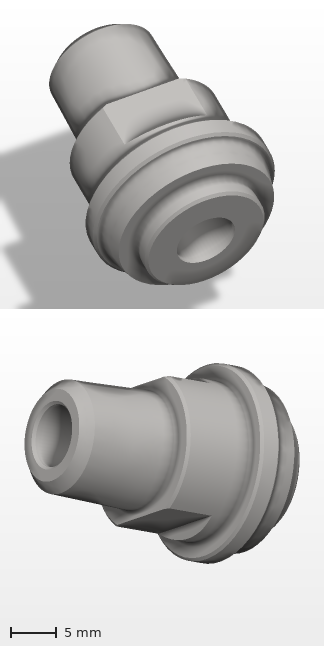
import cadquery as cq
import math

total_length = 28.5
body_start = 12.0
flange_start = 20.5
flange_end = 23.03
cone_end = 26.02

nose_tip_radius = 5.15
body_radius = 18.0 / 2
flange_radius = 22.0 / 2
cone_end_radius = 9.4
collar_radius = 14.5 / 2
bore_radius = 7.0 / 2

nose_chamfer = 1.23
nose_taper_slope = 1 / 32
cone_angle = math.radians(15)
edge_chamfer = 0.3
shoulder_fillet = 0.4
cone_fillet = 0.3
collar_fillet = 0.5

flat_half_height = 7.5
flat_end = 18.0
flat_wall_angle = math.radians(15)

nose_start_radius = nose_tip_radius + nose_chamfer
nose_end_radius = nose_start_radius + nose_taper_slope * (body_start - nose_chamfer)
cone_start_radius = cone_end_radius + math.tan(cone_angle) * (cone_end - flange_end)


def make_turned_body():
    """Revolve the outer profile around X and round its inside corners."""
    profile = [
        (0, 0),
        (0, nose_tip_radius),
        (nose_chamfer, nose_start_radius),
        (body_start, nose_end_radius),
        (body_start, body_radius - edge_chamfer),
        (body_start + edge_chamfer, body_radius),
        (flange_start, body_radius),
        (flange_start, flange_radius - edge_chamfer),
        (flange_start + edge_chamfer, flange_radius),
        (flange_end - edge_chamfer, flange_radius),
        (flange_end, flange_radius - edge_chamfer),
        (flange_end, cone_start_radius),
        (cone_end, cone_end_radius),
        (cone_end, collar_radius),
        (total_length - edge_chamfer, collar_radius),
        (total_length, collar_radius - edge_chamfer),
        (total_length, 0),
    ]
    body = cq.Workplane("XY").polyline(profile).close().revolve(360, (0, 0, 0), (1, 0, 0))
    inside_corners = [
        (body_start, nose_end_radius, shoulder_fillet),
        (flange_start, body_radius, shoulder_fillet),
        (flange_end, cone_start_radius, cone_fillet),
        (cone_end, collar_radius, collar_fillet),
    ]
    for x, radius, fillet in inside_corners:
        body = fillet_circle(body, x, radius, fillet)
    return body


def fillet_circle(body, x, radius, fillet):
    """Round the circular edge of the given radius centred on the axis at x."""
    tolerance = 0.003
    circles = body.edges("%CIRCLE").filter(
        lambda edge: abs(edge.Center().x - x) < tolerance and abs(edge.radius() - radius) < tolerance
    )
    return circles.fillet(fillet)


def make_bore():
    """Through bore, chamfered at the nose end."""
    profile = [
        (0, 0),
        (0, bore_radius + edge_chamfer),
        (edge_chamfer, bore_radius),
        (total_length, bore_radius),
        (total_length, 0),
    ]
    return cq.Workplane("XY").polyline(profile).close().revolve(360, (0, 0, 0), (1, 0, 0))


def make_flat_cutter():
    """Cutter for the upper wrench flat, with a sloping end wall."""
    top = flange_radius
    wall_run = math.tan(flat_wall_angle) * (top - flat_half_height)
    profile = [
        (0, flat_half_height),
        (flat_end, flat_half_height),
        (flat_end + wall_run, top),
        (0, top),
    ]
    return cq.Workplane("XZ").polyline(profile).close().extrude(body_radius, both=True)


result = make_turned_body().cut(make_bore())
upper_flat = make_flat_cutter()
for flat in (upper_flat, upper_flat.mirror("XY")):
    result = result.cut(flat)